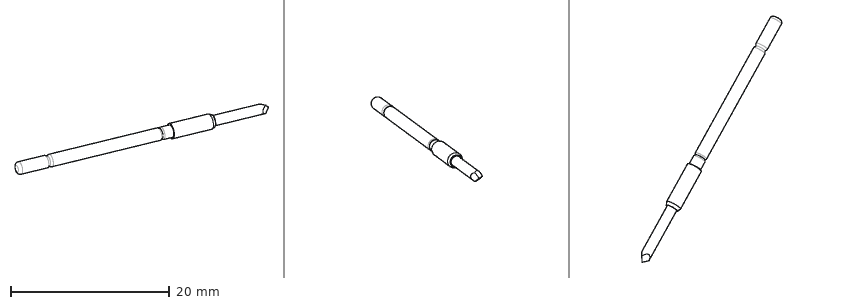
import cadquery as cq
import math

length = 36.0
plunger_radius = 0.7
collar_radius = 1.0
collar_nose_radius = 0.83
body_radius = 0.83
tail_round = 0.4

collar_top = 28.0
collar_taper = 0.45
collar_bottom = 22.0
upper_groove_y = 20.52
upper_groove_half_width = 0.2
upper_groove_depth = 0.1
tail_groove_y = 4.45
tail_groove_half_width = 0.32
tail_groove_depth = 0.15

facet_count = 3
facet_angle = 30.0
first_ridge_angle = 180.0


def crimp_groove(profile, y, half_width, depth):
    """Continue the rising profile through a groove whose walls run smoothly from lip to floor."""
    floor = (body_radius - depth, y)
    upper_lip = (body_radius, y + half_width)
    along_axis = [(0, 1), (0, 1)]
    return (
        profile.lineTo(body_radius, y - half_width)
        .spline([floor], tangents=along_axis, includeCurrent=True)
        .spline([upper_lip], tangents=along_axis, includeCurrent=True)
    )


def turned_probe():
    """Revolve the stepped half profile about Y."""
    profile = (
        cq.Workplane("XY")
        .lineTo(body_radius - tail_round, 0)
        .tangentArcPoint((body_radius, tail_round), relative=False)
    )
    profile = crimp_groove(profile, tail_groove_y, tail_groove_half_width, tail_groove_depth)
    profile = crimp_groove(profile, upper_groove_y, upper_groove_half_width, upper_groove_depth)
    return (
        profile.lineTo(body_radius, collar_bottom)
        .lineTo(collar_radius, collar_bottom)
        .lineTo(collar_radius, collar_top - collar_taper)
        .lineTo(collar_nose_radius, collar_top)
        .lineTo(plunger_radius, collar_top)
        .lineTo(plunger_radius, length)
        .lineTo(0, length)
        .close()
        .revolve(360, (0, 0, 0), (0, 1, 0))
    )


def facet_cutter(direction):
    """Wedge outside one facet; direction is the facet's facing angle from +X towards +Z."""
    outer = 2 * plunger_radius
    drop = outer / math.tan(math.radians(facet_angle))
    return (
        cq.Workplane("XY")
        .moveTo(0, length)
        .lineTo(outer, length - drop)
        .lineTo(outer, length)
        .close()
        .extrude(outer, both=True)
        .rotate((0, 0, 0), (0, 1, 0), -direction)
    )


result = turned_probe()
facet_step = 360 / facet_count
for index in range(facet_count):
    result = result.cut(facet_cutter(first_ridge_angle + (index + 0.5) * facet_step))